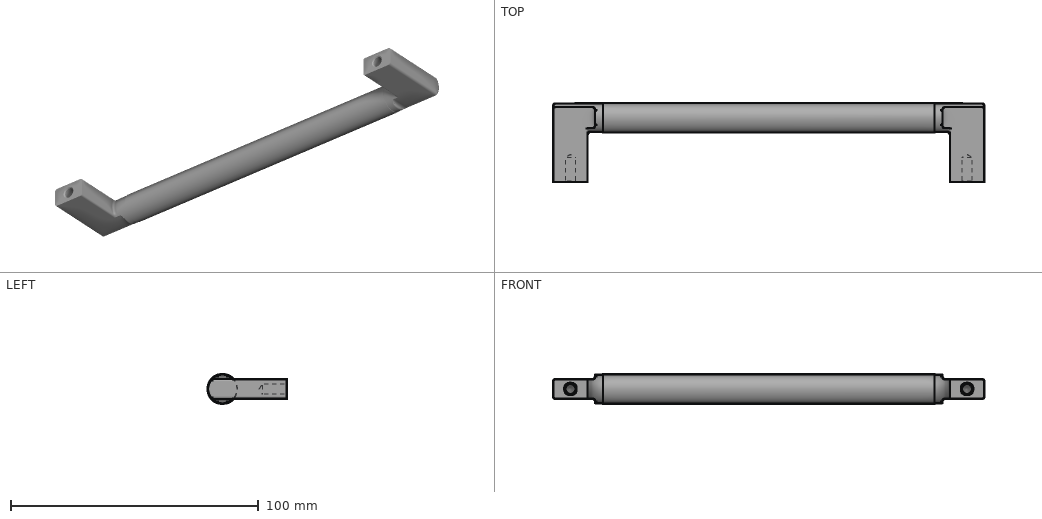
import cadquery as cq
import math

LENGTH = 174.0
DEPTH = 32.0
BAR_DIAMETER = 12.0
BAR_LENGTH = 134.0
CAP_DIAMETER = 11.7
LEG_WIDTH = 14.0
LEG_THICKNESS = 8.0
COLLAR_WIDTH = 3.1
OUTER_ROUND = 1.0
INNER_ROUND = 0.7
NECK_BLEND = 1.0
COLLAR_ROOT_ROUND = 1.0
COLLAR_RIM_ROUND = 0.5
HOLE_DIAMETER = 4.2
MOUTH_DIAMETER = 5.0
HOLE_DEPTH = 10.0
DRILL_POINT_ANGLE = 118.0
EDGE_SEARCH_MARGIN = 0.2

OUTER_FACE = LENGTH / 2
JOINT = BAR_LENGTH / 2
COLLAR_FACE = JOINT + COLLAR_WIDTH
INNER_FACE = OUTER_FACE - LEG_WIDTH
LEG_CENTRE = OUTER_FACE - LEG_WIDTH / 2
MOUNTING_FACE = BAR_DIAMETER / 2 - DEPTH
FLAT_HEIGHT = LEG_THICKNESS / 2


def cylinder_along_x(diameter, start, end):
    """Cylinder on the X axis from start to end."""
    return cq.Workplane("YZ", origin=(start, 0, 0)).circle(diameter / 2).extrude(end - start)


def flattened_cylinder(start, end):
    """Cap cylinder cut down to the leg thickness by two flats."""
    flats = cq.Workplane("XY").box(2 * LENGTH, 2 * DEPTH, LEG_THICKNESS)
    return cylinder_along_x(CAP_DIAMETER, start, end).intersect(flats)


def edges_in_box(body, low, high):
    """Edges of the body that lie wholly inside the box."""
    return body.edges(cq.selectors.BoxSelector(low, high, boundingbox=True))


def make_bar():
    """Plain round bar between the two end caps."""
    return cylinder_along_x(BAR_DIAMETER, -JOINT, JOINT)


def make_leg():
    """Leg with a round back and rounded edges; only the mounting face keeps sharp edges."""
    leg = (
        cq.Workplane("XY")
        .box(LEG_WIDTH, -MOUNTING_FACE, LEG_THICKNESS, centered=(True, False, True))
        .translate((LEG_CENTRE, MOUNTING_FACE, 0))
        .union(flattened_cylinder(INNER_FACE, OUTER_FACE))
    )
    leg = leg.faces(">X").edges("not <Y").fillet(OUTER_ROUND)
    return leg.faces("<X").edges("|Y").fillet(INNER_ROUND)


def neck_slab():
    """Slab between the two flats of the neck, thickening in round roots up to the collar face."""
    root = COLLAR_ROOT_ROUND
    middle = root * (1 - math.sqrt(0.5))
    root_top = FLAT_HEIGHT + root
    half_profile = (
        cq.Workplane("XZ")
        .moveTo(JOINT, 0)
        .lineTo(JOINT, root_top)
        .lineTo(COLLAR_FACE, root_top)
        .threePointArc((COLLAR_FACE + middle, FLAT_HEIGHT + middle), (COLLAR_FACE + root, FLAT_HEIGHT))
        .lineTo(LEG_CENTRE, FLAT_HEIGHT)
        .lineTo(LEG_CENTRE, 0)
        .close()
    )
    upper_half = half_profile.extrude(CAP_DIAMETER, both=True)
    return upper_half.union(upper_half.mirror("XY"))


def make_neck():
    """Round collar with a rounded rim, running into a neck with two flats."""
    collar = cylinder_along_x(CAP_DIAMETER, JOINT, COLLAR_FACE)
    collar = collar.faces(">X").edges().fillet(COLLAR_RIM_ROUND)
    neck = cylinder_along_x(CAP_DIAMETER, JOINT, LEG_CENTRE).intersect(neck_slab())
    return collar.union(neck)


def join_neck(leg, neck):
    """Neck and leg as one body, blended into the inner face of the leg."""
    body = leg.union(neck)
    margin = EDGE_SEARCH_MARGIN
    corner = edges_in_box(
        body,
        (INNER_FACE - margin, -CAP_DIAMETER / 2 - margin, -FLAT_HEIGHT + margin),
        (INNER_FACE + margin, 0, FLAT_HEIGHT - margin),
    )
    return corner.fillet(NECK_BLEND)


def make_hole():
    """Blind hole with a countersunk mouth and a conical bottom, entering from the mounting face."""
    radius = HOLE_DIAMETER / 2
    mouth_radius = MOUTH_DIAMETER / 2
    tip = HOLE_DEPTH + radius / math.tan(math.radians(DRILL_POINT_ANGLE / 2))
    half_section = [
        (0, 0),
        (mouth_radius, 0),
        (radius, mouth_radius - radius),
        (radius, HOLE_DEPTH),
        (0, tip),
    ]
    full_turn = 360
    hole = cq.Workplane("XY").polyline(half_section).close().revolve(full_turn, (0, 0, 0), (0, 1, 0))
    return hole.translate((LEG_CENTRE, MOUNTING_FACE, 0))


def make_cap(side):
    """End cap on the +X side (side = 1) or its mirror image on the -X side (side = -1)."""
    cap = join_neck(make_leg(), make_neck()).cut(make_hole())
    return cap if side > 0 else cap.mirror("YZ")


bar = make_bar()
caps = [make_cap(side) for side in (1, -1)]
result = cq.Compound.makeCompound([bar.val(), *[cap.val() for cap in caps]])